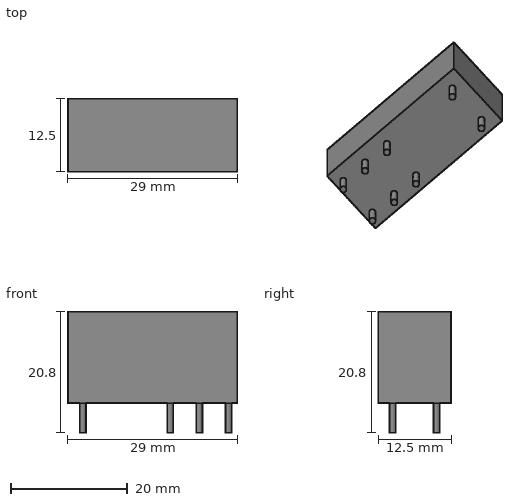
import cadquery as cq

HOUSING_LENGTH = 29.0
HOUSING_WIDTH = 12.5
OVERALL_HEIGHT = 20.8
PIN_LENGTH = 5.1
HOUSING_HEIGHT = OVERALL_HEIGHT - PIN_LENGTH

PIN_DIAMETER = 1.1
PIN_PITCH = 5.0
ROW_SPACING = 7.5
FIRST_PIN_INSET = 2.55
PIN_STEPS = (0, 3, 4, 5)


def make_housing():
    """Block centred on the Z axis, with its underside at Z = 0."""
    return cq.Workplane("XY").box(
        HOUSING_LENGTH, HOUSING_WIDTH, HOUSING_HEIGHT, centered=(True, True, False)
    )


def make_pin(x, y):
    """Round pin hanging from the underside of the housing."""
    return cq.Workplane("XY").center(x, y).circle(PIN_DIAMETER / 2).extrude(-PIN_LENGTH)


housing = make_housing()

first_pin_x = -HOUSING_LENGTH / 2 + FIRST_PIN_INSET
pins = []
for row_y in (-ROW_SPACING / 2, ROW_SPACING / 2):
    for step in PIN_STEPS:
        pins.append(make_pin(first_pin_x + step * PIN_PITCH, row_y))

result = cq.Compound.makeCompound([housing.val(), *[pin.val() for pin in pins]])